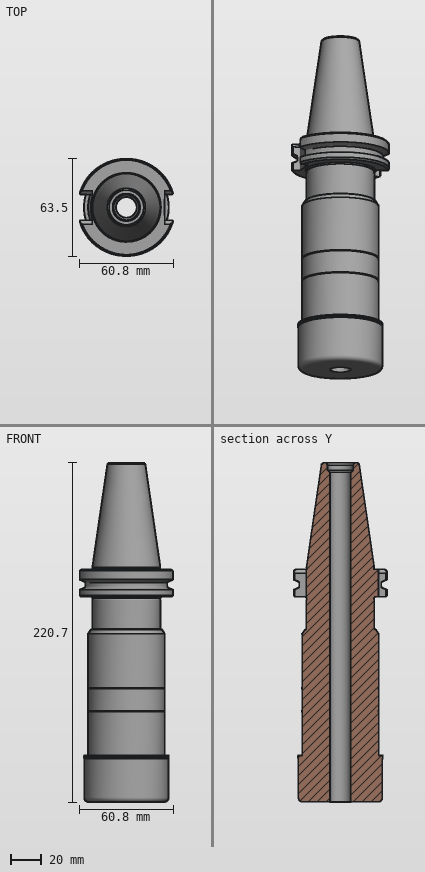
import cadquery as cq
import math


gauge_dia = 44.45
taper_length = 68.25
taper_bottom = 0.4
taper_ratio = 7 / 24
taper_end_chamfer_width = 1.0
taper_end_chamfer_height = 1.1
relief_dia = 43.85
relief_slope_height = 0.3
relief_edge_height = 0.7
relief_foot_dia = 45.1

flange_dia = 63.5
flange_top = -1.0
flange_bottom = -19.05
flange_top_chamfer = 1.0
flange_bottom_chamfer = 1.2
groove_mid = -11.1
groove_mouth_width = 6.8
groove_floor_width = 3.4
groove_floor_dia = 56.0
groove_floor_radius = 0.6

slot_width = 16.65
slot_floor_left = 22.2
slot_floor_right = 24.9
slot_top_chamfer = 2.5
cutter_overrun = 1.0
slot_edge_chamfer = 0.8
slot_corner_radius = 0.6

neck_dia = gauge_dia
neck_entry_dia = 45.5
neck_relief_height = 1.0
neck_bottom = -39.8
shoulder_dia = 46.5
shoulder_lead_height = 0.5
body_dia = 50.0
shoulder_chamfer_bottom = -43.1
ring_groove_heights = (-78.5, -93.3)
ring_groove_width = 0.6
ring_groove_depth = 0.2

nut_dia = 55.0
nut_rim_dia = 55.4
nut_top = -122.1
nut_rim_height = 2.0
nut_rim_slope_height = 0.6
nut_bottom = -152.4
nut_bottom_radius = 3.0

bore_dia = 13.3
pilot_dia = 16.5
pilot_mouth_dia = 18.0
pilot_mouth_depth = 1.7
pilot_depth = 4.8


def make_body():
    """Revolve the outer profile, from the taper end down to the nut."""
    taper_end_radius = (gauge_dia - taper_length * taper_ratio) / 2
    chamfer_radius = taper_end_radius + taper_end_chamfer_height * taper_ratio / 2
    taper_bottom_radius = (gauge_dia - taper_bottom * taper_ratio) / 2
    neck_relief_z = flange_bottom - neck_relief_height
    neck_top = neck_relief_z - neck_relief_height
    rim_bottom = nut_top - nut_rim_height

    profile = (
        cq.Workplane("XZ")
        .moveTo(0, taper_length)
        .lineTo(taper_end_radius - taper_end_chamfer_width, taper_length)
        .lineTo(chamfer_radius, taper_length - taper_end_chamfer_height)
        .lineTo(taper_bottom_radius, taper_bottom)
        .lineTo(relief_dia / 2, taper_bottom - relief_edge_height)
        .lineTo(relief_dia / 2, flange_top + relief_slope_height)
        .lineTo(relief_foot_dia / 2, flange_top)
        .lineTo(flange_dia / 2 - flange_top_chamfer, flange_top)
        .lineTo(flange_dia / 2, flange_top - flange_top_chamfer)
        .lineTo(flange_dia / 2, flange_bottom + flange_bottom_chamfer)
        .lineTo(flange_dia / 2 - flange_bottom_chamfer, flange_bottom)
        .lineTo(neck_entry_dia / 2, flange_bottom)
        .lineTo(relief_dia / 2, neck_relief_z)
        .lineTo(neck_dia / 2, neck_top)
        .lineTo(neck_dia / 2, neck_bottom)
        .lineTo(shoulder_dia / 2, neck_bottom - shoulder_lead_height)
        .lineTo(body_dia / 2, shoulder_chamfer_bottom)
        .lineTo(body_dia / 2, nut_top)
        .lineTo(nut_dia / 2, nut_top)
        .lineTo(nut_rim_dia / 2, nut_top - nut_rim_slope_height)
        .lineTo(nut_rim_dia / 2, rim_bottom + nut_rim_slope_height)
        .lineTo(nut_dia / 2, rim_bottom)
        .lineTo(nut_dia / 2, nut_bottom + nut_bottom_radius)
        .radiusArc((nut_dia / 2 - nut_bottom_radius, nut_bottom), nut_bottom_radius)
        .lineTo(0, nut_bottom)
        .close()
    )
    return profile.revolve(360, (0, 0, 0), (0, 1, 0))


def make_flange_groove():
    """Ring that cuts the V-groove, with rounded corners along its floor."""
    floor_radius = groove_floor_dia / 2
    section = cq.Workplane("XZ").polyline([
        (floor_radius, groove_mid + groove_floor_width / 2),
        (flange_dia / 2, groove_mid + groove_mouth_width / 2),
        (flange_dia / 2, groove_mid - groove_mouth_width / 2),
        (floor_radius, groove_mid - groove_floor_width / 2),
    ]).close()
    ring = section.revolve(360, (0, 0, 0), (0, 1, 0))
    floor_edges = cq.selectors.RadiusNthSelector(0)
    return ring.edges("%CIRCLE").edges(floor_edges).fillet(groove_floor_radius)


def make_ring_groove(height):
    """Shallow V-groove around the body."""
    body_radius = body_dia / 2
    half_width = ring_groove_width / 2
    section = cq.Workplane("XZ").polyline([
        (body_radius, height + half_width),
        (body_radius - ring_groove_depth, height),
        (body_radius, height - half_width),
    ]).close()
    return section.revolve(360, (0, 0, 0), (0, 1, 0))


def make_drive_slot(side, floor_distance):
    """Cutter for one drive slot; side is -1 for the slot on -X and +1 for the one on +X."""
    rim_radius = flange_dia / 2
    outer = rim_radius + cutter_overrun
    half_width = slot_width / 2
    rim_x = math.sqrt(rim_radius ** 2 - (half_width + slot_edge_chamfer) ** 2)
    flare_start = rim_x - slot_edge_chamfer
    flare = outer - flare_start
    plan = [
        (side * floor_distance, -half_width),
        (side * flare_start, -half_width),
        (side * outer, -half_width - flare),
        (side * outer, half_width + flare),
        (side * flare_start, half_width),
        (side * floor_distance, half_width),
    ]
    height = flange_top - flange_bottom
    channel = cq.Workplane("XY").workplane(offset=flange_bottom).polyline(plan).close().extrude(height)
    floor_face = "<X" if side > 0 else ">X"
    channel = channel.faces(floor_face).edges("|Z").fillet(slot_corner_radius)

    chamfer_section = [
        (-half_width - slot_top_chamfer, flange_top),
        (half_width + slot_top_chamfer, flange_top),
        (half_width, flange_top - slot_top_chamfer),
        (-half_width, flange_top - slot_top_chamfer),
    ]
    top_chamfer = (
        cq.Workplane("YZ", origin=(side * floor_distance, 0, 0))
        .polyline(chamfer_section).close()
        .extrude(side * (outer - floor_distance))
    )
    return channel.union(top_chamfer)


def make_bore():
    """Through bore with a pilot counterbore and a conical mouth at the taper end."""
    pilot_floor = taper_length - pilot_depth
    cone_height = (pilot_dia - bore_dia) / 2
    section = cq.Workplane("XZ").polyline([
        (0, taper_length),
        (pilot_mouth_dia / 2, taper_length),
        (pilot_dia / 2, taper_length - pilot_mouth_depth),
        (pilot_dia / 2, pilot_floor),
        (bore_dia / 2, pilot_floor - cone_height),
        (bore_dia / 2, nut_bottom),
        (0, nut_bottom),
    ]).close()
    return section.revolve(360, (0, 0, 0), (0, 1, 0))


result = make_body().cut(make_flange_groove())
for groove_height in ring_groove_heights:
    result = result.cut(make_ring_groove(groove_height))
result = result.cut(make_drive_slot(-1, slot_floor_left))
result = result.cut(make_drive_slot(1, slot_floor_right))
result = result.cut(make_bore())